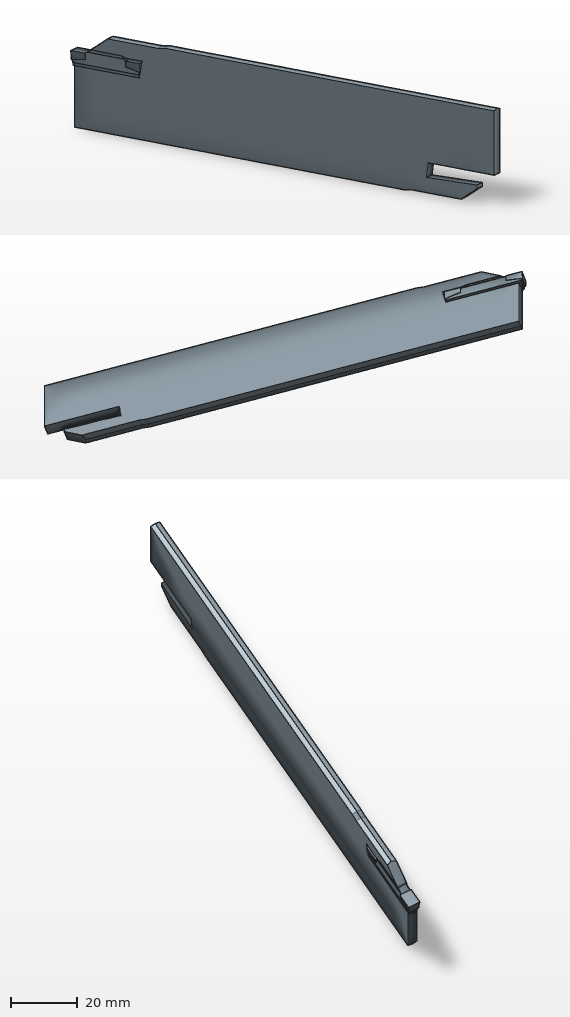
import cadquery as cq

length = 151.0
height = 31.1
blade_width = 3.2
tip_width = 4.0

blade_start = 1.0
ridge_drop = 0.5
ledge_drop = 0.5
ledge_start = 13.6
ledge_end = 31.1
relief_end = 33.5
finger_tip_x = 7.2
finger_tip_z = 26.0
seat_z = 19.8
clamp_z = 25.7
slot_roof_z = 25.2
slot_top_x = 25.2
slot_bottom_x = 24.6
open_seat_z = 20.7
open_finger_z = 24.8
open_roof_z = 25.4
mouth_x = -1.5
cutter_top = height + 1.5
blade_center = ((blade_start + length) / 2, 0, height / 2)

insert_length = 24.6
tip_length = 5.1
tip_top = 24.5
tip_root_z = 22.5
tip_nose_z = 21.5
nose_setback = 0.5
ramp_run = 1.8
flank_bottom = 20.7
flank_top = 24.8
rail_width = 2.9
ramp_end = tip_length + ramp_run


def plate(points, width):
    """Extrude an XZ outline symmetrically about Y = 0."""
    return cq.Workplane("XZ").polyline(points).close().extrude(width / 2, both=True)


def bar(points):
    """Extrude a YZ section along the full length."""
    return cq.Workplane("YZ").polyline(points).close().extrude(length)


def half_turn(shape):
    """Carry a feature to the opposite end of the blade."""
    x, y, z = blade_center
    return shape.rotate((x, y, z), (x, y + 1, z), 180)


def pitched_section(peak):
    """YZ outline of the blade with flat bottom and a pitched top edge."""
    half = blade_width / 2
    shoulder = peak - ridge_drop
    return [(-half, 0), (half, 0), (half, shoulder), (0, peak), (-half, shoulder)]


def ledge_ridge():
    """Pitched top edge of the ledge and its rise to the full height."""
    ledge_section = pitched_section(height - ledge_drop)
    rise = (
        cq.Workplane("YZ", origin=(ledge_end, 0, 0)).polyline(ledge_section).close()
        .workplane(offset=relief_end - ledge_end).polyline(pitched_section(height)).close()
        .loft(ruled=True)
    )
    return bar(ledge_section).union(rise)


def finger_cut():
    """Sloped finger front, plus a ledge that keeps the pitched top edge."""
    front = plate([
        (mouth_x, finger_tip_z),
        (finger_tip_x, finger_tip_z),
        (ledge_start, height - ledge_drop),
        (ledge_start, cutter_top),
        (mouth_x, cutter_top),
    ], tip_width)
    ledge = plate([
        (mouth_x, height / 2),
        (relief_end, height / 2),
        (relief_end, cutter_top),
        (mouth_x, cutter_top),
    ], tip_width).cut(ledge_ridge())
    return front.union(ledge)


def insert_seat():
    """Seat that follows the insert and leaves clearance behind it."""
    return plate([
        (mouth_x, seat_z),
        (insert_length - nose_setback, seat_z),
        (insert_length, tip_nose_z),
        (slot_top_x, slot_roof_z),
        (insert_length - tip_length, slot_roof_z),
        (insert_length - ramp_end, clamp_z),
        (ramp_end, clamp_z),
        (finger_tip_x, finger_tip_z),
        (mouth_x, finger_tip_z),
    ], tip_width)


def empty_slot():
    """Open slot without an insert, its finger closing slightly at the mouth."""
    return plate([
        (mouth_x, open_seat_z),
        (slot_bottom_x, open_seat_z),
        (slot_top_x, open_roof_z),
        (finger_tip_x, open_finger_z),
        (finger_tip_x, finger_tip_z),
        (mouth_x, finger_tip_z),
    ], tip_width)


def make_blade():
    half = blade_width / 2
    section = [
        (-half, ridge_drop), (0, 0), (half, ridge_drop),
        (half, height - ridge_drop), (0, height), (-half, height - ridge_drop),
    ]
    body = bar(section).intersect(
        cq.Workplane("XY").box(length - blade_start, tip_width, height).translate(blade_center)
    )
    relief = finger_cut()
    body = body.cut(relief).cut(half_turn(relief))
    return body.cut(insert_seat()).cut(half_turn(empty_slot())).solids()


def insert_body():
    """Double-ended insert with narrowed upper and lower rails."""
    outline = plate([
        (nose_setback, tip_top),
        (tip_length, tip_top),
        (ramp_end, clamp_z),
        (insert_length - ramp_end, clamp_z),
        (insert_length - tip_length, tip_top),
        (insert_length - nose_setback, tip_top),
        (insert_length - nose_setback, seat_z),
        (nose_setback, seat_z),
    ], blade_width)
    half = blade_width / 2
    rail = rail_width / 2
    return outline.intersect(bar([
        (-rail, seat_z), (rail, seat_z), (rail, flank_bottom),
        (half, flank_bottom), (half, flank_top),
        (rail, flank_top), (rail, clamp_z), (-rail, clamp_z), (-rail, flank_top),
        (-half, flank_top), (-half, flank_bottom), (-rail, flank_bottom),
    ]))


def cutting_tip():
    """Wide cutting tip whose sides taper inward below the cutting edge."""
    outline = plate([
        (0, tip_nose_z), (0, tip_top), (tip_length, tip_top), (tip_length, tip_root_z),
    ], tip_width)
    top = tip_width / 2
    bottom = blade_width / 2
    return outline.intersect(bar([
        (-bottom, tip_nose_z), (bottom, tip_nose_z), (top, tip_top), (-top, tip_top),
    ]))


def make_insert():
    tip = cutting_tip()
    opposite_tip = tip.mirror("YZ").translate((insert_length, 0, 0))
    return insert_body().union(tip).union(opposite_tip).solids()


blade = make_blade()
insert = make_insert()
result = cq.Compound.makeCompound([blade.val(), insert.val()])